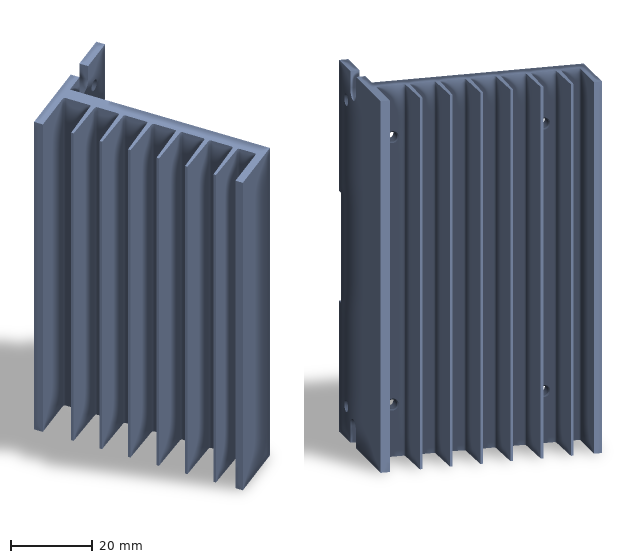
import cadquery as cq

width = 57.0
depth = 35.7
height = 96.0

plate_thickness = 2.4
short_wall_thickness = 2.0
web_back_y = 15.6
web_front_y = 12.0
web_thickness = web_back_y - web_front_y

fin_count = 6
fin_pitch = 7.8
first_fin_x = 10.5
fin_root_width = 1.2
fin_tip_width = 0.7
root_fillet = 0.5

web_hole_diameter = 2.5
web_hole_chamfer = 0.3
web_hole_x = 6.7
web_hole_spacing_x = 39.0
web_hole_end_distance = 13.4

plate_hole_diameter = 3.1
plate_hole_y = 29.5
plate_hole_end_distance = 8.4
slot_width = 4.9
slot_y = 23.5
slot_depth = 6.8
notch_length = 28.4
notch_depth = 1.6


def box(x, y, z, size_x, size_y, size_z):
    """Box with its lowest corner at (x, y, z)."""
    return cq.Workplane("XY").box(size_x, size_y, size_z, centered=False).translate((x, y, z))


def fin(center_x):
    """Full-height fin that narrows from the web to its tip at y = 0."""
    half_tip = fin_tip_width / 2
    half_root = fin_root_width / 2
    outline = [
        (center_x - half_tip, 0),
        (center_x + half_tip, 0),
        (center_x + half_root, web_front_y),
        (center_x - half_root, web_front_y),
    ]
    return cq.Workplane("XY").polyline(outline).close().extrude(height)


def extruded_body():
    """Plates, web and fins, with fillets where the fins and plates meet the web."""
    body = box(0, 0, 0, plate_thickness, depth, height)
    body = body.union(box(0, web_front_y, 0, width, web_thickness, height))
    short_wall_x = width - short_wall_thickness
    body = body.union(box(short_wall_x, 0, 0, short_wall_thickness, web_back_y, height))
    for index in range(fin_count):
        body = body.union(fin(first_fin_x + index * fin_pitch))

    tolerance = 0.01
    root_zone = cq.selectors.BoxSelector(
        (tolerance, web_front_y - tolerance, 0),
        (width - tolerance, web_front_y + tolerance, height),
    )
    return body.edges("|Z").edges(root_zone).fillet(root_fillet)


def web_holes():
    """Four holes along Y through the web, each chamfered on the finned side."""
    spacing_z = height - 2 * web_hole_end_distance
    center_x = web_hole_x + web_hole_spacing_x / 2
    radius = web_hole_diameter / 2
    bores = (
        cq.Workplane("XZ", origin=(center_x, web_back_y, height / 2))
        .rarray(web_hole_spacing_x, spacing_z, 2, 2)
        .circle(radius)
        .extrude(web_thickness)
    )
    mouth = cq.Solid.makeCone(
        radius + web_hole_chamfer,
        radius,
        web_hole_chamfer,
        dir=cq.Vector(0, 0, -1),
    )
    mouths = (
        cq.Workplane("XZ", origin=(center_x, web_front_y, height / 2))
        .rarray(web_hole_spacing_x, spacing_z, 2, 2)
        .eachpoint(mouth, useLocalCoordinates=True)
    )
    return bores.union(mouths)


def plate_holes():
    """Two holes along X through the tall plate."""
    spacing_z = height - 2 * plate_hole_end_distance
    return (
        cq.Workplane("YZ", origin=(0, plate_hole_y, height / 2))
        .rarray(1, spacing_z, 1, 2)
        .circle(plate_hole_diameter / 2)
        .extrude(plate_thickness)
    )


def end_slots():
    """Round-bottomed slots open at both ends of the tall plate."""
    return (
        cq.Workplane("YZ", origin=(0, slot_y, height / 2))
        .rarray(1, height, 1, 2)
        .slot2D(2 * slot_depth, slot_width, 90)
        .extrude(plate_thickness)
    )


def edge_notch():
    """Shallow notch in the middle of the tall plate's rear edge."""
    bottom_z = (height - notch_length) / 2
    return box(0, depth - notch_depth, bottom_z, plate_thickness, notch_depth, notch_length)


result = (
    extruded_body()
    .cut(web_holes())
    .cut(plate_holes())
    .cut(end_slots())
    .cut(edge_notch())
)